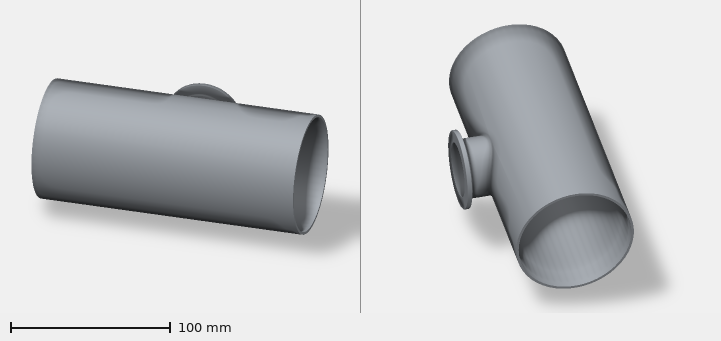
import cadquery as cq

run_length = 171.5
run_diameter = 76.1
wall = 1.63
run_bore = run_diameter - 2 * wall

branch_diameter = 38.0
branch_bore = branch_diameter - 2 * wall
branch_face_y = 54.0
weld_radius = 1.7

ferrule_length = 12.5
flange_diameter = 50.4
rim_thickness = 3.0
rim_radius = 0.5
neck_distance = 5.0
neck_radius = 1.2


def cylinder_x(diameter, length):
    """Cylinder along X, centred on the origin."""
    return cq.Workplane("YZ").circle(diameter / 2).extrude(length / 2, both=True)


def cylinder_y(diameter, start, end):
    """Cylinder along Y between two Y positions."""
    workplane = cq.Workplane("XZ", origin=(0, start, 0))
    return workplane.circle(diameter / 2).extrude(start - end)


def make_ferrule():
    """Short pipe with a flat-faced flange whose back slopes down to the neck."""
    neck = branch_diameter / 2
    rim = flange_diameter / 2
    weld_y = branch_face_y - ferrule_length
    neck_y = branch_face_y - neck_distance
    rim_y = branch_face_y - rim_thickness
    profile = (
        cq.Workplane("XY")
        .moveTo(0, weld_y)
        .lineTo(neck, weld_y)
        .lineTo(neck, neck_y)
        .lineTo(rim, rim_y)
        .lineTo(rim, branch_face_y)
        .lineTo(0, branch_face_y)
        .close()
    )
    ferrule = profile.revolve(360, (0, 0, 0), (0, 1, 0))
    ferrule = ferrule.edges(cq.selectors.RadiusNthSelector(0)).edges("%CIRCLE and >Y").fillet(neck_radius)
    return ferrule.edges(cq.selectors.RadiusNthSelector(-1)).fillet(rim_radius)


def make_tee():
    """Run and branch joined by a filleted weld, then bored through."""
    run = cylinder_x(run_diameter, run_length)
    branch_end_y = branch_face_y - ferrule_length
    branch = cylinder_y(branch_diameter, 0, branch_end_y)
    tee = run.union(branch)
    reach = branch_diameter / 2 + weld_radius
    weld_zone = cq.selectors.BoxSelector((-reach, 0, -reach), (reach, run_diameter / 2 + weld_radius, reach))
    tee = tee.edges(weld_zone).fillet(weld_radius)
    tee = tee.union(make_ferrule())
    tee = tee.cut(cylinder_x(run_bore, run_length))
    return tee.cut(cylinder_y(branch_bore, 0, branch_face_y))


result = make_tee()